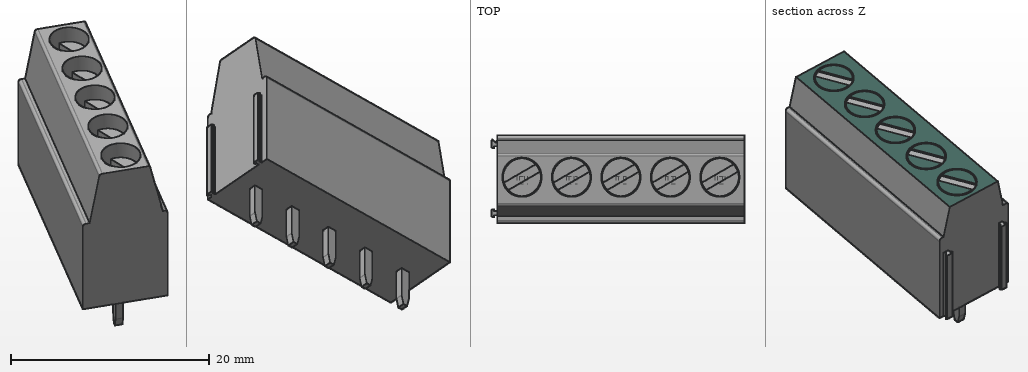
import cadquery as cq

pole_count = 5
total_length = 25.55
rail_depth = 0.6
body_length = total_length - rail_depth
pitch = body_length / pole_count

body_width = 8.9
body_height = 16.8
shoulder_height = 10.8
front_slope_foot = 0.72
front_slope_top = 1.76
back_slope_foot = 8.38
back_slope_top = 7.03
edge_radius = 0.33
back_top_radius = 0.25

screw_y = 4.65
well_diameter = 3.99
screw_diameter = 3.8
screw_recess = 1.75
well_depth = 3.07
slot_width = 0.87
slot_depth = 0.82
slot_angle = 30

pin_y = 4.37
pin_width = 1.02
pin_thickness = 0.8
pin_length = 4.5
pin_tip_length = 1.05
pin_tip_width = 0.5

rail_height = 8.65
front_rail_y = 1.02
rail_head_width = 0.8
rail_neck_width = 0.45
rail_neck_length = 0.3
rail_chamfer = 0.1
back_rail_bottom = 7.6
back_rail_top = 8.45
back_neck_bottom = 7.77
back_notch_y = 8.15
back_notch_x = 0.15
back_root_y = 8.38


def make_housing():
    """Stepped housing with sloped upper walls and rounded long edges."""
    profile = [
        (0, 0),
        (body_width, 0),
        (body_width, shoulder_height),
        (back_slope_foot, shoulder_height),
        (back_slope_top, body_height),
        (front_slope_top, body_height),
        (front_slope_foot, shoulder_height),
        (0, shoulder_height),
    ]
    housing = cq.Workplane("YZ").polyline(profile).close().extrude(body_length)
    rounded_corners = [
        (0, shoulder_height, edge_radius),
        (body_width, shoulder_height, edge_radius),
        (front_slope_top, body_height, edge_radius),
        (back_slope_top, body_height, back_top_radius),
    ]
    middle = body_length / 2
    for y, z, radius in rounded_corners:
        edge = cq.selectors.NearestToPointSelector((middle, y, z))
        housing = housing.edges("|X").edges(edge).fillet(radius)
    return housing


def make_well():
    """Round well, centred on the screw axis, cut down from the housing top."""
    return (
        cq.Workplane("XY", origin=(0, screw_y, body_height))
        .circle(well_diameter / 2)
        .extrude(-well_depth)
    )


def make_screw():
    """Slotted screw head standing on the well floor."""
    head_height = well_depth - screw_recess
    head_top = body_height - screw_recess
    head = (
        cq.Workplane("XY", origin=(0, screw_y, head_top))
        .circle(screw_diameter / 2)
        .extrude(-head_height)
    )
    slot = (
        cq.Workplane("XY", origin=(0, screw_y, head_top))
        .transformed(rotate=(0, 0, slot_angle))
        .rect(well_diameter, slot_width)
        .extrude(-slot_depth)
    )
    return head.cut(slot)


def make_pin():
    """Flat solder pin with a tapered tip, hanging from the underside."""
    taper_start = pin_tip_length - pin_length
    profile = [
        (-pin_width / 2, 0),
        (-pin_width / 2, taper_start),
        (-pin_tip_width / 2, -pin_length),
        (pin_tip_width / 2, -pin_length),
        (pin_width / 2, taper_start),
        (pin_width / 2, 0),
    ]
    return (
        cq.Workplane("XZ", origin=(0, pin_y, 0))
        .polyline(profile)
        .close()
        .extrude(pin_thickness / 2, both=True)
    )


def make_front_rail():
    """T-shaped rail with a chamfered head."""
    half_neck = rail_neck_width / 2
    half_head = rail_head_width / 2
    upper_half = [
        (0, half_neck),
        (-rail_neck_length, half_neck),
        (-rail_neck_length, half_head),
        (rail_chamfer - rail_depth, half_head),
        (-rail_depth, half_head - rail_chamfer),
    ]
    lower_half = [(x, -y) for x, y in reversed(upper_half)]
    return (
        cq.Workplane("XY", origin=(0, front_rail_y, 0))
        .polyline(upper_half + lower_half)
        .close()
        .extrude(rail_height)
    )


def make_back_rail():
    """Hooked rail: square step on the inner side, V notch on the outer side."""
    profile = [
        (0, back_neck_bottom),
        (-rail_neck_length, back_neck_bottom),
        (-rail_neck_length, back_rail_bottom),
        (rail_chamfer - rail_depth, back_rail_bottom),
        (-rail_depth, back_rail_bottom + rail_chamfer),
        (-rail_depth, back_rail_top - rail_chamfer),
        (rail_chamfer - rail_depth, back_rail_top),
        (-back_notch_x, back_notch_y),
        (0, back_root_y),
    ]
    return cq.Workplane("XY").polyline(profile).close().extrude(rail_height)


result = make_housing().union(make_front_rail()).union(make_back_rail())

for pole in range(pole_count):
    offset = ((pole + 0.5) * pitch, 0, 0)
    result = result.cut(make_well().translate(offset))
    result = result.union(make_screw().translate(offset))
    result = result.union(make_pin().translate(offset))